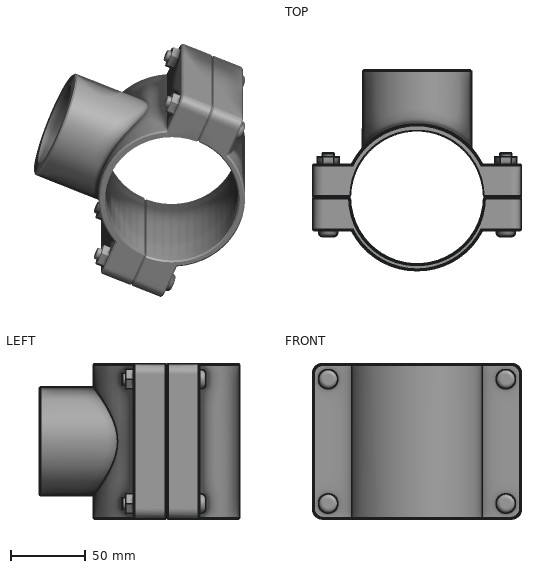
import cadquery as cq
import math

height = 105.0
bore_diameter = 90.0
ring_wall = 4.5
ring_radius = bore_diameter / 2 + ring_wall
edge_chamfer = 1.0

plate_width = 141.0
plate_thickness = 22.5
plate_corner_radius = 7.0

branch_end = 86.0
branch_diameter = 73.65
socket_diameter = 56.66
socket_depth = 30.0
outlet_diameter = 50.0

screw_inset = 10.5
screw_x = plate_width / 2 - screw_inset
screw_z = height / 2 - screw_inset
screw_diameter = 8.0
screw_protrusion = 7.6
screw_tip_chamfer = 0.5
head_diameter = 13.0
head_height = 4.0
head_round = 3.0
nut_across_flats = 13.0
nut_across_corners = nut_across_flats / math.cos(math.radians(30))
nut_height = 4.9


def cylinder_along_y(diameter, y_start, y_end):
    """Solid cylinder on the Y axis between two Y positions."""
    base = cq.Workplane("XZ", origin=(0, y_start, 0))
    return base.circle(diameter / 2).extrude(y_start - y_end)


def cylinder_along_z(radius):
    """Solid cylinder on the Z axis, as tall as the clamp and centred on it."""
    return cq.Workplane("XY").circle(radius).extrude(height / 2, both=True)


def clamp_half():
    """Half of the clamp on the +Y side, still without its bore."""
    plate = (
        cq.Workplane("XY")
        .box(plate_width, plate_thickness, height)
        .edges("|Y")
        .fillet(plate_corner_radius)
        .faces("<Y or >Y")
        .chamfer(edge_chamfer)
        .translate((0, plate_thickness / 2, 0))
    )
    half_space = cq.Workplane("XY").box(
        2 * ring_radius, ring_radius, height, centered=(True, False, True)
    )
    ring = (
        cylinder_along_z(ring_radius)
        .faces("<Z or >Z")
        .chamfer(edge_chamfer)
        .intersect(half_space.translate((0, edge_chamfer, 0)))
    )
    return plate.union(ring)


def cut_bore(body):
    """Bore through the clamp, with a groove along Z where the split meets the bore."""
    bore_radius = bore_diameter / 2
    body = body.cut(cylinder_along_z(bore_radius))
    for side in (-1, 1):
        groove = (
            cq.Workplane("XY")
            .center(side * bore_radius, 0)
            .polygon(4, 2 * edge_chamfer)
            .extrude(height / 2, both=True)
        )
        body = body.cut(groove)
    return body


def chamfer_lower_rims(body):
    """Chamfer both bore rims of the half on the -Y side."""
    bore_radius = bore_diameter / 2
    full_cone = (
        cq.Workplane("XY", origin=(0, 0, height / 2))
        .circle(bore_radius + edge_chamfer)
        .workplane(offset=-edge_chamfer)
        .circle(bore_radius)
        .loft()
    )
    lower_space = (
        cq.Workplane("XY")
        .box(plate_width, plate_width, 2 * height)
        .translate((0, -plate_width / 2, 0))
    )
    rim = full_cone.intersect(lower_space)
    return body.cut(rim).cut(rim.mirror("XY"))


def branch_pipe():
    """Solid branch pipe from the clamp axis to its chamfered free end."""
    return cylinder_along_y(branch_diameter, 0, branch_end).faces(">Y").chamfer(edge_chamfer)


def screw_with_nut():
    """Round-headed screw on the -Y side, its shank and its nut on the +Y side."""
    head = (
        cylinder_along_y(head_diameter, -plate_thickness - head_height, -plate_thickness)
        .faces("<Y")
        .edges()
        .fillet(head_round)
    )
    shank = (
        cylinder_along_y(screw_diameter, -plate_thickness, plate_thickness + screw_protrusion)
        .faces(">Y")
        .chamfer(screw_tip_chamfer)
    )
    nut = (
        cq.Workplane("XZ", origin=(0, plate_thickness, 0))
        .polygon(6, nut_across_corners)
        .extrude(-nut_height)
    )
    return head.union(shank).union(nut)


positive_half = clamp_half()
clamp = positive_half.union(positive_half.mirror("XZ")).union(branch_pipe())
clamp = chamfer_lower_rims(cut_bore(clamp))
clamp = clamp.cut(cylinder_along_y(outlet_diameter, 0, branch_end))
clamp = clamp.cut(cylinder_along_y(socket_diameter, branch_end - socket_depth, branch_end))

for x in (-screw_x, screw_x):
    for z in (-screw_z, screw_z):
        clamp = clamp.union(screw_with_nut().translate((x, 0, z)))

result = clamp